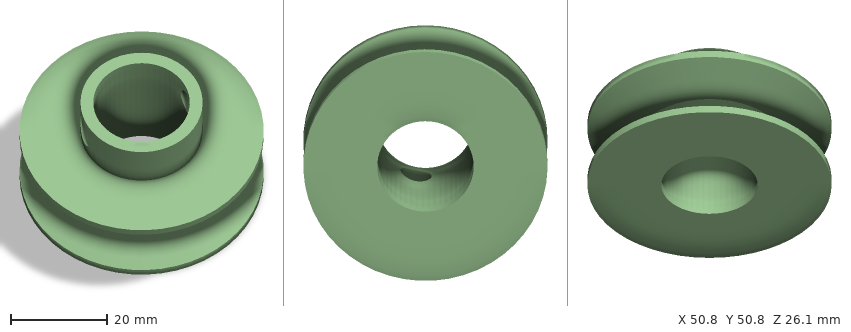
import cadquery as cq

total_height = 26.05
rim_diameter = 50.8
rim_thickness = 1.65
groove_floor_diameter = 31.75
groove_floor_width = 5.05
flank_height = 3.8
hub_diameter = 25.4
bore_diameter = 20.05
cross_hole_diameter = 6.6

rim_radius = rim_diameter / 2
groove_floor_radius = groove_floor_diameter / 2
hub_radius = hub_diameter / 2
bore_radius = bore_diameter / 2

lower_flank_top = rim_thickness + flank_height
upper_flank_bottom = lower_flank_top + groove_floor_width
upper_rim_bottom = upper_flank_bottom + flank_height
wheel_top = upper_rim_bottom + rim_thickness
cross_hole_height = (wheel_top + total_height) / 2


def pulley_body():
    """Bored wheel with a flat-bottomed V groove and a hub, revolved about Z."""
    section = (
        cq.Workplane("XZ")
        .moveTo(bore_radius, 0)
        .lineTo(rim_radius, 0)
        .lineTo(rim_radius, rim_thickness)
        .lineTo(groove_floor_radius, lower_flank_top)
        .lineTo(groove_floor_radius, upper_flank_bottom)
        .lineTo(rim_radius, upper_rim_bottom)
        .lineTo(rim_radius, wheel_top)
        .lineTo(hub_radius, wheel_top)
        .lineTo(hub_radius, total_height)
        .lineTo(bore_radius, total_height)
        .close()
    )
    return section.revolve(360, (0, 0, 0), (0, 1, 0))


def cross_hole():
    """Cylinder along Y that passes through both walls of the hub at mid height."""
    return (
        cq.Workplane("XZ")
        .center(0, cross_hole_height)
        .circle(cross_hole_diameter / 2)
        .extrude(hub_diameter, both=True)
    )


result = pulley_body().cut(cross_hole())